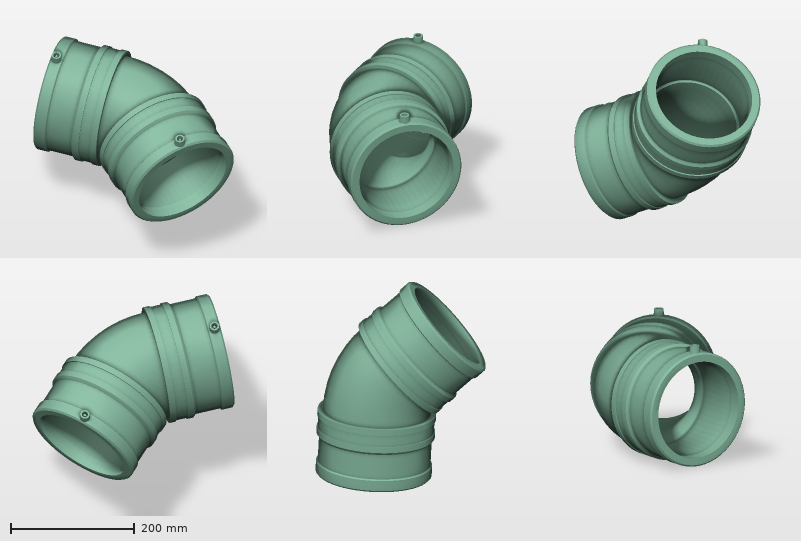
import cadquery as cq

bend_angle = 45.0
bend_radius = 106.7
bend_outer_radius = 176.0 / 2
bore_radius = 152.0 / 2

socket_length = 108.2
pipe_radius = 183.47 / 2
collar_radius = 189.14 / 2
ring_radius = 193.0 / 2
collar_mouth_bevel = collar_radius - pipe_radius
collar_end = 20.0
collar_bevel_end = 22.0
ring_bevel_start = 64.0
outer_ring_start = 68.5
ring_width = 10.0
inner_ring_start = socket_length - ring_width

mouth_radius = 160.0 / 2
seat_radius = mouth_radius + 0.5
seat_bevel_start = 20.0
seat_bevel_end = 23.0
stop_depth = 98.0

terminal_offset = 10.5
terminal_top = 106.0
terminal_base_radius = 17.0 / 2
terminal_top_radius = 15.4 / 2
terminal_hole_radius = 10.0 / 2
terminal_hole_floor = collar_radius
contact_radius = 4.0 / 2
contact_recess = 3.0


def terminal_plane(height):
    """Workplane across the terminal at the given height above the pipe axis."""
    return cq.Workplane("XY", origin=(terminal_offset, 0, height))


def make_terminal():
    """Tapered shroud with a blind hole and a contact pin standing in it."""
    root_height = (mouth_radius + collar_radius) / 2
    shroud_height = terminal_top - collar_radius
    hole_depth = terminal_top - terminal_hole_floor
    root = terminal_plane(root_height).circle(terminal_base_radius).extrude(collar_radius - root_height)
    shroud = terminal_plane(collar_radius).circle(terminal_base_radius)
    shroud = shroud.workplane(offset=shroud_height).circle(terminal_top_radius).loft()
    hole = terminal_plane(terminal_hole_floor).circle(terminal_hole_radius).extrude(hole_depth)
    contact = terminal_plane(terminal_hole_floor).circle(contact_radius)
    contact = contact.extrude(hole_depth - contact_recess)
    return root.union(shroud).cut(hole).union(contact)


def make_socket():
    """Socket along +X with its mouth at X = 0."""
    profile = [
        (0, mouth_radius),
        (0, collar_radius - collar_mouth_bevel),
        (collar_mouth_bevel, collar_radius),
        (collar_end, collar_radius),
        (collar_bevel_end, pipe_radius),
        (ring_bevel_start, pipe_radius),
        (outer_ring_start, ring_radius),
        (outer_ring_start + ring_width, ring_radius),
        (outer_ring_start + ring_width, collar_radius),
        (inner_ring_start, collar_radius),
        (inner_ring_start, ring_radius),
        (socket_length, ring_radius),
        (socket_length, bore_radius),
        (stop_depth, bore_radius),
        (stop_depth, seat_radius),
        (seat_bevel_end, seat_radius),
        (seat_bevel_start, mouth_radius),
    ]
    body = cq.Workplane("XY").polyline(profile).close()
    body = body.revolve(360, (0, 0, 0), (1, 0, 0))
    return body.union(make_terminal())


def make_bend():
    """Elbow pipe starting where the first socket ends."""
    section = cq.Workplane("YZ").workplane(offset=socket_length)
    section = section.circle(bend_outer_radius).circle(bore_radius)
    axis_top = (-bend_radius, 1, 0)
    axis_foot = (-bend_radius, 0, 0)
    return section.revolve(bend_angle, axis_top, axis_foot)


def across_bend(socket):
    """Place a mirrored copy of the socket at the far end of the bend."""
    copy = socket.mirror("YZ", (socket_length, 0, 0))
    axis_foot = (socket_length, -bend_radius, 0)
    axis_top = (socket_length, -bend_radius, 1)
    return copy.rotate(axis_foot, axis_top, -bend_angle)


first_socket = make_socket()
second_socket = across_bend(first_socket)
result = first_socket.union(make_bend()).union(second_socket)